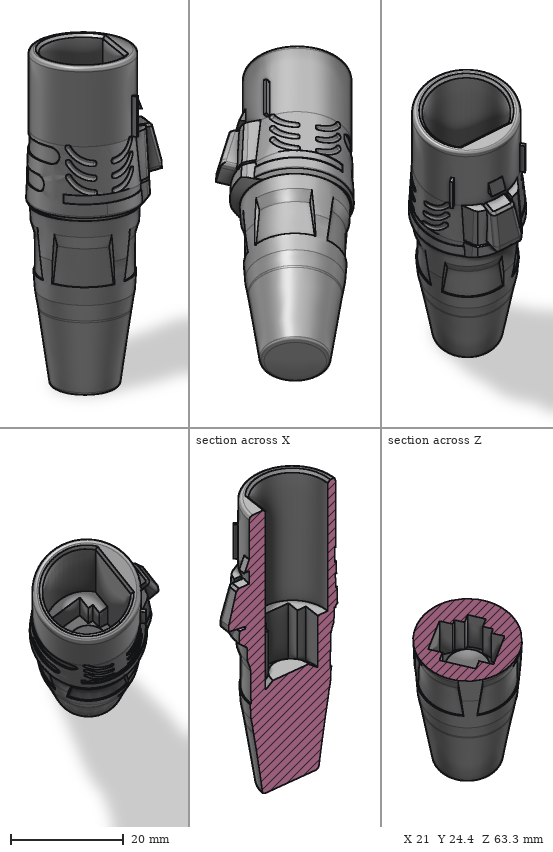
import cadquery as cq
import math

total_height = 63.3
total_depth = 24.4
tail_top_z = 14.6
belly_bottom_z = 15.0
belly_mid_z = 18.1
belly_top_z = 26.1
collar_bottom_z = 34.3
collar_edge_z = 35.1
collar_rim_z = 35.45
collar_top_z = 48.4

nose_radius = 6.25
nose_fillet = 0.8
tail_top_radius = 8.35
belly_bottom_radius = 8.4
belly_mid_radius = 8.9
belly_top_radius = 9.5
boot_top_radius = 9.8

collar_diameter = 20.95
collar_radius = collar_diameter / 2
collar_bottom_radius = 9.9
tube_radius = 9.7
tube_offset_y = -0.4
tube_rim_fillet = 0.8

bore_radius = 7.85
bore_flat_y = 5.6
bore_floor_z = 34.3
bore_lead_in = 0.6

plug_half_width = 6.0
plug_bottom_y = -4.05
plug_top_y = 2.7
plug_tongue_half_width = 3.35
plug_tongue_y = -5.95
plug_step_half_width = 3.55
plug_step_y = 3.75
plug_key_half_width = 1.65
plug_floor_z = 21.5
stub_top_radius = 4.0
stub_base_radius = 7.6
stub_top_z = 24.45

window_count = 4
window_first_angle = -24.8
window_top_z = 31.2
window_ramp_z = 28.8
window_bottom_z = 21.5
window_half_width_top = 5.05
window_half_width_bottom = 5.6
window_depth = 0.65
window_run_out_depth = 0.25
window_wall_taper = 62.0
window_base_x = 6.65

scallop_count = 3
scallop_pitch = 2.7
scallop_radius = 0.65
scallop_lift = 0.3
scallop_path = [(6.2, 48.0), (4.6, 46.1), (2.0, 45.2)]

badges = [(13.2, 3.15, 46.0), (8.0, 3.05, 40.2)]
badge_depth = 0.25

band_bottom_z = 37.6
band_top_z = 39.25
band_floor_radius = 10.2
band_end_y = -7.15

housing_radius = 11.7
housing_foot_half_width = 7.3
housing_foot_y = 6.3
housing_half_width = 5.4
housing_shoulder_y = 9.9
housing_taper = 3.2
housing_top_half_width = 4.7
channel_half_width = 2.65
catch_top_z = 38.75
button_top_y = 12.1
button_tip_y = total_depth - collar_radius
button_bend_z = 41.0
button_bottom_z = 39.65
button_root_z = 39.05
button_half_width_top = 2.4
button_half_width_bottom = 3.05
button_edge_fillet = 0.9
button_top_chamfer = 0.5
tooth_half_width = 1.45
tooth_bottom_z = 51.1
tooth_top_z = 53.75
tooth_tip_y = 10.4
tooth_root_y = 6.3

rib_direction = 135.0
rib_outer_radius = 10.4
rib_inner_radius = 8.55
rib_width = 0.6
rib_shift = 0.9
rib_top_z = 55.95

far = 2 * collar_radius


def disc(radius, z, height, y=0.0):
    return cq.Workplane("XY", origin=(0, y, z)).circle(radius).extrude(height)


def box(x0, x1, y0, y1, z0, z1):
    return cq.Workplane("XY").box(x1 - x0, y1 - y0, z1 - z0, centered=False).translate((x0, y0, z0))


def revolve_profile(profile):
    """Turn a closed (radius, z) profile around the boot axis."""
    return profile.close().revolve(360, (0, 0, 0), (0, 1, 0))


def boot_radius(z):
    """Radius of the upper boot, straight between its two section changes."""
    if z >= belly_top_z:
        z0, r0, z1, r1 = belly_top_z, belly_top_radius, collar_bottom_z, boot_top_radius
    else:
        z0, r0, z1, r1 = belly_mid_z, belly_mid_radius, belly_top_z, belly_top_radius
    return r0 + (r1 - r0) * (z - z0) / (z1 - z0)


def make_boot():
    profile = (
        cq.Workplane("XZ")
        .moveTo(0, 0)
        .lineTo(nose_radius, 0)
        .lineTo(tail_top_radius, tail_top_z)
        .lineTo(belly_bottom_radius, belly_bottom_z)
        .lineTo(belly_mid_radius, belly_mid_z)
        .lineTo(belly_top_radius, belly_top_z)
        .lineTo(boot_top_radius, collar_bottom_z)
        .lineTo(0, collar_bottom_z)
    )
    return revolve_profile(profile).faces("<Z").edges().fillet(nose_fillet)


def make_window_cutter():
    """Trapezoidal window whose floor ramps in at the top and runs out at the bottom."""
    ring = revolve_profile(
        cq.Workplane("XZ")
        .moveTo(far, window_bottom_z)
        .lineTo(boot_radius(window_bottom_z) - window_run_out_depth, window_bottom_z)
        .lineTo(boot_radius(window_ramp_z) - window_depth, window_ramp_z)
        .lineTo(boot_radius(window_top_z), window_top_z)
        .lineTo(far, window_top_z)
    )

    def base_half_width(edge_half_width, z):
        """Half width on the base plane of a tapered wall that meets the boot at the edge."""
        edge_x = math.sqrt(boot_radius(z) ** 2 - edge_half_width**2)
        return edge_half_width - (edge_x - window_base_x) * math.tan(math.radians(window_wall_taper))

    bottom = base_half_width(window_half_width_bottom, window_bottom_z)
    top = base_half_width(window_half_width_top, window_top_z)
    trapezoid = [
        (-bottom, window_bottom_z),
        (bottom, window_bottom_z),
        (top, window_top_z),
        (-top, window_top_z),
    ]
    base = cq.Workplane("YZ", origin=(window_base_x, 0, 0)).polyline(trapezoid).close()
    return ring.intersect(base.extrude(boot_top_radius - window_base_x, taper=-window_wall_taper))


def make_collar(inset=0.0):
    """Oblique cone from the collar rim to the offset tube, optionally shrunk by an inset."""
    return (
        cq.Workplane("XY", origin=(0, 0, collar_rim_z))
        .circle(collar_radius - inset)
        .workplane(offset=collar_top_z - collar_rim_z)
        .center(0, tube_offset_y)
        .circle(tube_radius - inset)
        .loft(ruled=True)
    )


def make_collar_rim():
    return revolve_profile(
        cq.Workplane("XZ")
        .moveTo(0, collar_bottom_z)
        .lineTo(collar_bottom_radius, collar_bottom_z)
        .lineTo(collar_radius, collar_edge_z)
        .lineTo(collar_radius, collar_rim_z)
        .lineTo(0, collar_rim_z)
    )


def make_tube():
    tube = disc(tube_radius, collar_bottom_z, total_height - collar_bottom_z, tube_offset_y)
    return tube.faces(">Z").edges().fillet(tube_rim_fillet)


def make_housing():
    """Leaning latch housing with a chamfered underside and a channel for the button."""
    arc_y = math.sqrt(housing_radius**2 - housing_top_half_width**2)
    outline = (
        cq.Workplane("XY", origin=(0, 0, collar_bottom_z))
        .moveTo(-housing_foot_half_width, housing_foot_y)
        .lineTo(housing_foot_half_width, housing_foot_y)
        .lineTo(housing_half_width, housing_shoulder_y)
        .lineTo(housing_top_half_width, arc_y)
        .threePointArc((0, housing_radius), (-housing_top_half_width, arc_y))
        .lineTo(-housing_half_width, housing_shoulder_y)
        .close()
    )
    block = outline.extrude(collar_top_z - collar_bottom_z, taper=housing_taper)
    chamfer_height = housing_radius - collar_bottom_radius
    envelope = revolve_profile(
        cq.Workplane("XZ")
        .moveTo(0, collar_bottom_z)
        .lineTo(collar_bottom_radius, collar_bottom_z)
        .lineTo(housing_radius, collar_bottom_z + chamfer_height)
        .lineTo(housing_radius, collar_top_z)
        .lineTo(0, collar_top_z)
    )
    channel = box(-channel_half_width, channel_half_width, 0, far, catch_top_z, total_height)
    gap = box(-far, far, 0, far, catch_top_z, band_top_z)
    return block.intersect(envelope).cut(channel).cut(gap)


def make_button():
    side_profile = [
        (0, button_root_z),
        (tube_radius, button_root_z),
        (button_tip_y, button_bottom_z),
        (button_tip_y, button_bend_z),
        (button_top_y, collar_top_z),
        (0, collar_top_z),
    ]
    front_profile = [
        (-button_half_width_bottom, button_root_z),
        (button_half_width_bottom, button_root_z),
        (button_half_width_top, collar_top_z),
        (-button_half_width_top, collar_top_z),
    ]
    side = cq.Workplane("YZ").polyline(side_profile).close().extrude(far, both=True)
    front = cq.Workplane("XZ").polyline(front_profile).close().extrude(-far)
    button = side.intersect(front)
    outer_edges = cq.selectors.BoxSelector(
        (-far, tube_radius, 0), (far, far, collar_top_z - button_edge_fillet)
    )
    button = button.edges(outer_edges).edges("not #Z").edges("not |X").fillet(button_edge_fillet)
    return button.faces(">Z").edges("|X and >Y").chamfer(button_top_chamfer)


def make_tooth():
    profile = [
        (tooth_root_y, tooth_bottom_z),
        (tooth_tip_y, tooth_bottom_z),
        (tube_radius + tube_offset_y, tooth_top_z),
        (tooth_root_y, tooth_top_z),
    ]
    return cq.Workplane("YZ").polyline(profile).close().extrude(tooth_half_width, both=True)


def make_rib():
    """Narrow rib on the left flank, turned to face away from the axis."""
    rib = box(
        rib_inner_radius, rib_outer_radius, rib_shift - rib_width, rib_shift, collar_top_z, rib_top_z
    )
    return rib.rotate((0, 0, 0), (0, 0, 1), rib_direction)


def make_band_cutter():
    height = band_top_z - band_bottom_z
    ring = disc(far, band_bottom_z, height).cut(disc(band_floor_radius, band_bottom_z, height))
    return ring.intersect(box(-far, far, band_end_y, far, band_bottom_z, band_top_z))


def collar_side_point(y, z, lift):
    """Point on the +X side of the collar, moved outwards by a lift."""
    share = (z - collar_rim_z) / (collar_top_z - collar_rim_z)
    radius = collar_radius + (tube_radius - collar_radius) * share + lift
    return cq.Vector(math.sqrt(radius**2 - (y - tube_offset_y * share) ** 2), y, z)


def make_scallop_cutter():
    """Round-bottomed curved grooves, mirrored front to back and left to right."""
    scallops = cq.Workplane("XY")
    for index in range(scallop_count):
        for side in (1, -1):
            points = [
                collar_side_point(side * y + tube_offset_y, z - index * scallop_pitch, scallop_lift)
                for y, z in scallop_path
            ]
            path = cq.Edge.makeThreePointArc(*points)
            section = cq.Workplane(cq.Plane(points[0], normal=path.tangentAt(0))).circle(scallop_radius)
            scallops = scallops.add(section.sweep(cq.Workplane(path)))
            for end in (points[0], points[-1]):
                scallops = scallops.add(cq.Workplane("XY").sphere(scallop_radius).translate(end))
    scallops = scallops.combine()
    return scallops.union(scallops.mirror("YZ"))


def make_badge_cutter():
    cutter = cq.Workplane("XY")
    for length, height, z in badges:
        field = cq.Workplane("XZ", origin=(0, 0, z)).slot2D(length, height).extrude(far)
        cutter = cutter.add(field)
    return cutter.combine().cut(make_collar(badge_depth))


def make_bore_cutter():
    def bore_section(radius, flat_y, z, height):
        flat = box(-far, far, flat_y, far, z, z + height)
        return disc(radius, z, height, tube_offset_y).cut(flat)

    bore = bore_section(bore_radius, bore_flat_y, bore_floor_z, total_height - bore_floor_z)
    mouth = bore_section(
        bore_radius + bore_lead_in,
        bore_flat_y + bore_lead_in,
        total_height - bore_lead_in,
        2 * bore_lead_in,
    )
    mouth = mouth.faces("<Z").edges().chamfer(bore_lead_in)
    return bore.union(mouth)


def make_plug_cutter():
    """Stepped plug outline, leaving the part of the conical stub that stands inside it."""
    def opening(half_width, bottom_y, top_y):
        return box(-half_width, half_width, bottom_y, top_y, plug_floor_z, bore_floor_z)

    outline = opening(plug_half_width, plug_bottom_y, plug_top_y)
    outline = outline.union(opening(plug_tongue_half_width, plug_tongue_y, 0))
    outline = outline.union(opening(plug_step_half_width, 0, plug_step_y))
    outline = outline.union(opening(plug_key_half_width, 0, bore_flat_y))
    stub = (
        cq.Workplane("XY", origin=(0, 0, plug_floor_z))
        .circle(stub_base_radius)
        .workplane(offset=stub_top_z - plug_floor_z)
        .circle(stub_top_radius)
        .loft(ruled=True)
    )
    return outline.cut(stub)


body = make_boot()
window = make_window_cutter()
for index in range(window_count):
    angle = window_first_angle + index * 360 / window_count
    body = body.cut(window.rotate((0, 0, 0), (0, 0, 1), angle))

body = body.union(make_collar_rim()).union(make_collar()).union(make_tube())
body = body.cut(make_band_cutter()).cut(make_scallop_cutter()).cut(make_badge_cutter())

body = body.union(make_housing()).union(make_button()).union(make_tooth())

rib = make_rib()
body = body.union(rib).union(rib.mirror("YZ"))

body = body.cut(make_bore_cutter()).cut(make_plug_cutter())

result = cq.Workplane(body.val())